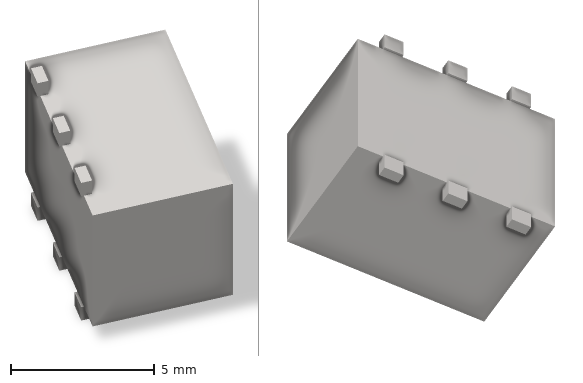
import cadquery as cq

housing_length = 7.87
housing_depth = 5.14
housing_height = 5.57

terminal_width = 0.76
terminal_thickness = 0.4
terminal_length = 0.67
terminal_pitch = 2.54
terminal_overhang = 0.1
terminals_per_row = 3

housing_front = -housing_depth / 2
terminal_y = housing_front - terminal_overhang + terminal_thickness / 2
terminal_z = (housing_height + terminal_length) / 2


def make_housing():
    return cq.Workplane("XY").box(housing_length, housing_depth, housing_height)


def make_terminal(x, side):
    """One terminal block on the top (side = 1) or bottom (side = -1) face."""
    block = cq.Workplane("XY").box(terminal_width, terminal_thickness, terminal_length)
    return block.translate((x, terminal_y, side * terminal_z))


housing = make_housing()

terminals = []
for side in (-1, 1):
    for index in range(terminals_per_row):
        x = (index - (terminals_per_row - 1) / 2) * terminal_pitch
        terminals.append(make_terminal(x, side).val())

result = cq.Compound.makeCompound([housing.val(), *terminals])